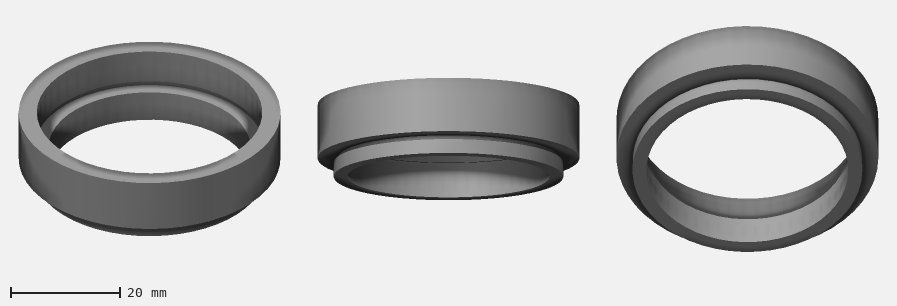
import cadquery as cq

total_height = 13.45
body_diameter = 48.0
body_height = 10.0
lip_diameter = 42.1
lip_height = 2.6
groove_diameter = 40.6

bore_diameter = 37.0
counterbore_diameter = 41.35
counterbore_depth = 7.5
undercut_diameter = 42.0
undercut_height = 1.0

body_bottom = total_height - body_height
counterbore_floor = total_height - counterbore_depth


def disc(diameter, bottom, top):
    """Solid disc on the Z axis between two heights."""
    return cq.Workplane("XY").workplane(offset=bottom).circle(diameter / 2).extrude(top - bottom)


lip = disc(lip_diameter, 0, lip_height)
groove_core = disc(groove_diameter, lip_height, body_bottom)
body = disc(body_diameter, body_bottom, total_height)

bore = disc(bore_diameter, 0, total_height)
counterbore = disc(counterbore_diameter, counterbore_floor, total_height)
undercut = disc(undercut_diameter, counterbore_floor, counterbore_floor + undercut_height)

result = lip.union(groove_core).union(body).cut(bore).cut(counterbore).cut(undercut)